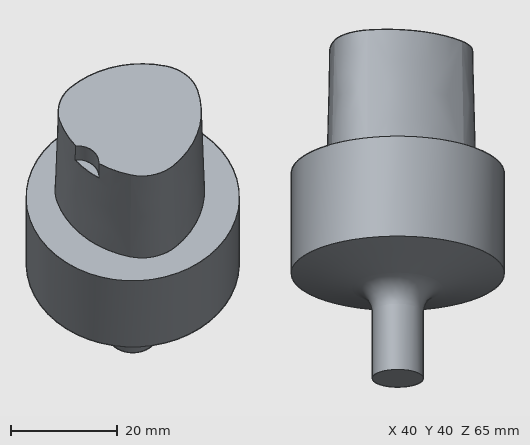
import cadquery as cq
import math

body_radius = 20.0
body_height = 20.0
stem_radius = 4.8
cone_angle = math.radians(15.0)
neck_fillet_radius = 5.0
body_bottom = 21.0
body_top = body_bottom + body_height

head_height = 24.0
head_top = body_top + head_height
head_center_y = 0.1
lobe_center_distance = 6.0
lobe_angles = (90.0, 210.0, 330.0)
base_lobe_radius = 8.83
top_lobe_radius = 8.23

notch_radius = 4.0
notch_depth = 4.2
notch_inner_y = -10.9


def polar_point(center, radius, angle_degrees):
    """Point at a given radius and angle around a center."""
    angle = math.radians(angle_degrees)
    return (center[0] + radius * math.cos(angle), center[1] + radius * math.sin(angle))


def make_body():
    """Revolve the stem, neck fillet, underside cone and cylindrical body."""
    fillet_center_r = stem_radius + neck_fillet_radius
    cone_drop = (body_radius - fillet_center_r) * math.tan(cone_angle)
    fillet_center_z = body_bottom - cone_drop - neck_fillet_radius / math.cos(cone_angle)
    fillet_center = (fillet_center_r, fillet_center_z)
    cone_end_angle = 90.0 + math.degrees(cone_angle)
    fillet_mid = polar_point(fillet_center, neck_fillet_radius, (180.0 + cone_end_angle) / 2)
    fillet_end = polar_point(fillet_center, neck_fillet_radius, cone_end_angle)
    return (
        cq.Workplane("XZ")
        .lineTo(stem_radius, 0)
        .lineTo(stem_radius, fillet_center_z)
        .threePointArc(fillet_mid, fillet_end)
        .lineTo(body_radius, body_bottom)
        .lineTo(body_radius, body_top)
        .lineTo(0, body_top)
        .close()
        .revolve(360, (0, 0, 0), (0, 1, 0))
    )


def lobed_outline(plane, lobe_radius):
    """Draw a rounded Reuleaux triangle: small lobe arcs joined by tangent wide side arcs.

    Each side arc is centered on the lobe opposite to it, and half_lobe_span is the
    angle from the middle of a lobe to the end of its arc.
    """
    lobe_spacing = lobe_center_distance * math.sqrt(3)
    side_radius = lobe_radius + lobe_spacing
    lobe_pitch = 360.0 / len(lobe_angles)
    half_lobe_span = lobe_pitch / 4
    first_lobe_center = polar_point((0, 0), lobe_center_distance, lobe_angles[0])
    outline = plane.moveTo(*polar_point(first_lobe_center, lobe_radius, lobe_angles[0] - half_lobe_span))
    for lobe_angle in lobe_angles:
        lobe_center = polar_point((0, 0), lobe_center_distance, lobe_angle)
        opposite_center = polar_point((0, 0), lobe_center_distance, lobe_angle - lobe_pitch)
        lobe_mid = polar_point(lobe_center, lobe_radius, lobe_angle)
        lobe_end = polar_point(lobe_center, lobe_radius, lobe_angle + half_lobe_span)
        side_mid = polar_point(opposite_center, side_radius, lobe_angle + 2 * half_lobe_span)
        side_end = polar_point(opposite_center, side_radius, lobe_angle + 3 * half_lobe_span)
        outline = outline.threePointArc(lobe_mid, lobe_end).threePointArc(side_mid, side_end)
    return outline.close()


def make_head():
    """Loft the head from its wider base to its narrower top."""
    base_plane = cq.Workplane("XY", origin=(0, head_center_y, body_top))
    base = lobed_outline(base_plane, base_lobe_radius)
    top = lobed_outline(base.workplane(offset=head_height), top_lobe_radius)
    return top.loft(ruled=True)


def make_notch():
    """Upright cylinder that cuts the notch into the top edge of the head."""
    return (
        cq.Workplane("XY")
        .workplane(offset=head_top - notch_depth)
        .center(0, notch_inner_y - notch_radius)
        .circle(notch_radius)
        .extrude(notch_depth)
    )


result = make_body().union(make_head()).cut(make_notch())